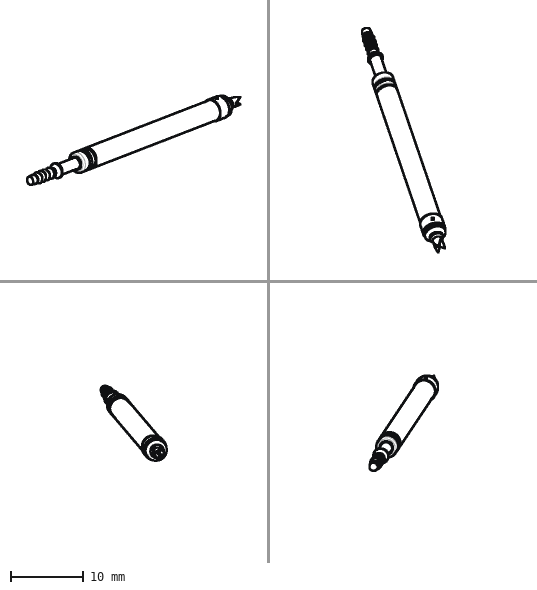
import cadquery as cq
import math

total_length = 42.7

plunger_radius = 1.32 / 2
flange_radius = 0.95
body_radius = 1.5
collar_radius = 3.2 / 2
neck_ring_radius = 0.95
stem_radius = 0.8
stem_flange_radius = 1.05
tail_radius = 0.6
tail_bead_radius = 0.7
barb_radius = 0.8

tail_bead_y = 0.9
barb_edges_y = [1.62, 2.4, 3.15, 4.05]
bead_land = 0.13
barb_land = 0.25

stem_cone_start_y = 4.7
stem_flange_y = 5.3
stem_flange_width = 0.2

body_end_y = 9.45
body_end_round = 0.25
neck_ring_length = 0.13

wide_groove_y = (10.5, 10.7, 11.1)
wide_groove_depth = 0.25
narrow_groove_y = (11.65, 11.85, 12.0)
narrow_groove_depth = 0.15
groove_lip_drop = 0.1

collar_bottom_y = 37.25
collar_top_y = 39.03
nose_start_y = 39.2
nose_round = 0.13
nose_cone_y = 39.65
flange_bottom_y = 40.2
flange_top_y = 40.5
plunger_start_y = 40.8

point_count = 3
crown_center_depth = 0.5
crown_valley_depth = 1.35

mark_y = 38.2
mark_diameter = 0.4
mark_depth = 0.1


def add_barbs(outline):
    """Trace the tail upward: an end bead, then barbs widening up to a sharp edge."""
    outline = outline.lineTo(tail_radius, 0).lineTo(tail_bead_radius, tail_bead_y)
    outline = outline.lineTo(tail_radius, tail_bead_y)
    edge_below = tail_bead_y
    land = bead_land
    for edge_y in barb_edges_y:
        outline = outline.lineTo(tail_radius, edge_below + land)
        outline = outline.lineTo(barb_radius, edge_y).lineTo(tail_radius, edge_y)
        edge_below = edge_y
        land = barb_land
    return outline


def add_groove(outline, groove_y, depth):
    """Trace a round-bottomed groove whose lower lip is rolled over."""
    lower_y, lip_y, upper_y = groove_y
    lip_radius = body_radius - groove_lip_drop
    return (
        outline.lineTo(body_radius, lower_y)
        .tangentArcPoint((lip_radius, lip_y), relative=False)
        .threePointArc((body_radius - depth, (lip_y + upper_y) / 2), (body_radius, upper_y))
    )


def turned_probe():
    """Full turned shape, with the plunger still a plain cylinder."""
    outline = add_barbs(cq.Workplane("XY").moveTo(0, 0))
    outline = (
        outline.lineTo(tail_radius, stem_cone_start_y)
        .lineTo(stem_flange_radius, stem_flange_y)
        .lineTo(stem_flange_radius, stem_flange_y + stem_flange_width)
        .lineTo(stem_radius, stem_flange_y + stem_flange_width)
        .lineTo(stem_radius, body_end_y - neck_ring_length)
        .lineTo(neck_ring_radius, body_end_y - neck_ring_length)
        .lineTo(neck_ring_radius, body_end_y)
        .lineTo(body_radius - body_end_round, body_end_y)
        .radiusArc((body_radius, body_end_y + body_end_round), -body_end_round)
    )
    outline = add_groove(outline, wide_groove_y, wide_groove_depth)
    outline = add_groove(outline, narrow_groove_y, narrow_groove_depth)
    outline = (
        outline.lineTo(body_radius, collar_bottom_y)
        .lineTo(collar_radius, collar_bottom_y)
        .lineTo(collar_radius, collar_top_y)
        .lineTo(body_radius - nose_round, nose_start_y)
        .radiusArc((body_radius, nose_start_y + nose_round), -nose_round)
        .lineTo(body_radius, nose_cone_y)
        .lineTo(flange_radius, flange_bottom_y)
        .lineTo(flange_radius, flange_top_y)
        .lineTo(plunger_radius, plunger_start_y)
        .lineTo(plunger_radius, total_length)
        .lineTo(0, total_length)
        .close()
    )
    return outline.revolve(360, (0, 0, 0), (0, 1, 0))


def crown_notch():
    """V-shaped cutter whose valley runs from the axis outward along +X and down toward the tail."""
    point_angle = math.pi / point_count
    valley_slope = (crown_valley_depth - crown_center_depth) / plunger_radius
    ridge_slope = crown_center_depth / plunger_radius
    side_slope = (ridge_slope + valley_slope * math.cos(point_angle)) / math.sin(point_angle)
    tilt = math.atan(valley_slope)
    half_width = 2 * plunger_radius
    height = half_width * side_slope * math.cos(tilt)
    half_length = 4 * plunger_radius
    across_valley = cq.Plane(
        origin=(0, total_length - crown_center_depth, 0),
        xDir=(0, 0, -1),
        normal=(math.cos(tilt), -math.sin(tilt), 0),
    )
    return (
        cq.Workplane(across_valley)
        .polyline([(0, 0), (half_width, height), (-half_width, height)])
        .close()
        .extrude(half_length, both=True)
    )


def cut_crown(probe):
    """Cut one notch between each pair of points."""
    for index in range(point_count):
        angle = index * 360 / point_count
        probe = probe.cut(crown_notch().rotate((0, 0, 0), (0, 1, 0), angle))
    return probe


def index_mark():
    """Shallow round recess in the top of the collar."""
    return (
        cq.Workplane("XY", origin=(0, mark_y, collar_radius - mark_depth))
        .circle(mark_diameter / 2)
        .extrude(2 * mark_depth)
    )


result = cut_crown(turned_probe()).cut(index_mark())